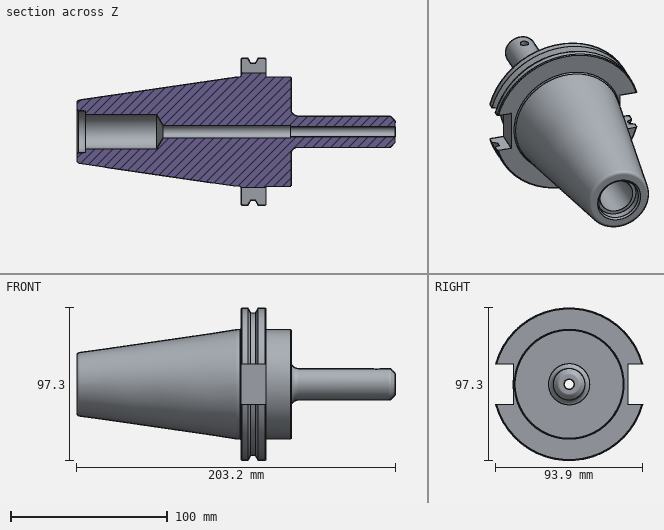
import cadquery as cq
import math

total_length = 203.2

gauge_diameter = 70.0
taper_length = 102.0
taper_ratio = 7 / 24
neck_diameter = gauge_diameter
nose_round = 2.0

flange_start = 104.9
flange_width = 15.9
flange_diameter = 97.3
flange_edge_chamfer = 0.6
flange_root_chamfer = 0.8
groove_center = 112.4
groove_floor_width = 3.0
groove_depth = 3.0
groove_wall_angle = 30.0
slot_width = 25.6
slot_floor_front = 35.5
slot_floor_back = 37.5

boss_diameter = 70.1
boss_end = 136.8
boss_edge_chamfer = 0.6
shank_diameter = 20.1
shank_base_radius = 5.0
shank_base_length = 4.7
shank_end_chamfer = 3.3
shank_end_round = 1.8

mouth_diameter = 28.9
counterbore_diameter = 26.6
counterbore_straight_depth = 4.0
counterbore_floor_diameter = 26.2
counterbore_depth = 5.5
thread_bore_diameter = 22.0
thread_bore_depth = 50.8
drill_tip_angle = 118.0
coolant_bore_diameter = 8.0
coolant_bore_end = 136.2
outlet_diameter = 6.3

cross_hole_diameter = 5.3
cross_hole_x = 191.2


def revolve_profile(points):
    """Revolve a closed (x, radius) outline about the X axis."""
    return cq.Workplane("XY").polyline(points).close().revolve(360, (0, 0, 0), (1, 0, 0))


def round_circle(body, x, radius, round_radius):
    """Round the circular edge at the given x position and radius."""
    tolerance = 0.02
    reach = radius + tolerance
    box = cq.selectors.BoxSelector(
        (x - tolerance, -reach, -reach), (x + tolerance, reach, reach), boundingbox=True
    )
    return body.edges(box).edges(cq.selectors.RadiusNthSelector(-1)).fillet(round_radius)


def make_taper():
    nose_radius = (gauge_diameter - taper_length * taper_ratio) / 2
    taper = revolve_profile([
        (0, 0),
        (0, nose_radius),
        (taper_length, gauge_diameter / 2),
        (taper_length, 0),
    ])
    taper = round_circle(taper, 0, nose_radius, nose_round)
    neck = revolve_profile([
        (taper_length, 0),
        (taper_length, neck_diameter / 2),
        (flange_start - flange_root_chamfer, neck_diameter / 2),
        (flange_start, neck_diameter / 2 + flange_root_chamfer),
        (flange_start, 0),
    ])
    return taper.union(neck)


def make_flange():
    radius = flange_diameter / 2
    end = flange_start + flange_width
    floor_radius = radius - groove_depth
    half_floor = groove_floor_width / 2
    half_mouth = half_floor + groove_depth * math.tan(math.radians(groove_wall_angle))
    flange = revolve_profile([
        (flange_start, 0),
        (flange_start, radius - flange_edge_chamfer),
        (flange_start + flange_edge_chamfer, radius),
        (groove_center - half_mouth, radius),
        (groove_center - half_floor, floor_radius),
        (groove_center + half_floor, floor_radius),
        (groove_center + half_mouth, radius),
        (end - flange_edge_chamfer, radius),
        (end, radius - flange_edge_chamfer),
        (end, 0),
    ])
    for side, floor in ((-1, slot_floor_front), (1, slot_floor_back)):
        slot = cq.Workplane("XY").box(flange_width, radius, slot_width)
        slot = slot.translate((flange_start + flange_width / 2, side * (floor + radius / 2), 0))
        flange = flange.cut(slot)
    return flange


def make_boss():
    radius = boss_diameter / 2
    start = flange_start + flange_width
    return revolve_profile([
        (start, 0),
        (start, radius),
        (boss_end - boss_edge_chamfer, radius),
        (boss_end, radius - boss_edge_chamfer),
        (boss_end, 0),
    ])


def make_shank():
    radius = shank_diameter / 2
    sweep_end = boss_end + shank_base_length
    sweep_center_radius = radius + shank_base_radius

    def sweep_radius(distance):
        """Radius of the sweep at a distance before it meets the shank."""
        return sweep_center_radius - math.sqrt(shank_base_radius**2 - distance**2)

    chamfer_start = total_length - shank_end_chamfer
    tip_radius = radius - shank_end_chamfer
    shank = (
        cq.Workplane("XY")
        .moveTo(boss_end, 0)
        .lineTo(boss_end, sweep_radius(shank_base_length))
        .threePointArc(
            (boss_end + shank_base_length / 2, sweep_radius(shank_base_length / 2)),
            (sweep_end, radius),
        )
        .lineTo(chamfer_start, radius)
        .lineTo(total_length, tip_radius)
        .lineTo(total_length, 0)
        .close()
        .revolve(360, (0, 0, 0), (1, 0, 0))
    )
    shank = round_circle(shank, chamfer_start, radius, shank_end_round)
    return round_circle(shank, total_length, tip_radius, shank_end_round)


def make_bores():
    mouth_chamfer = (mouth_diameter - counterbore_diameter) / 2
    thread_radius = thread_bore_diameter / 2
    coolant_radius = coolant_bore_diameter / 2
    tip_length = (thread_radius - coolant_radius) / math.tan(math.radians(drill_tip_angle / 2))
    return revolve_profile([
        (0, 0),
        (0, mouth_diameter / 2),
        (mouth_chamfer, counterbore_diameter / 2),
        (counterbore_straight_depth, counterbore_diameter / 2),
        (counterbore_depth, counterbore_floor_diameter / 2),
        (counterbore_depth, thread_radius),
        (thread_bore_depth, thread_radius),
        (thread_bore_depth + tip_length, coolant_radius),
        (coolant_bore_end, coolant_radius),
        (coolant_bore_end, outlet_diameter / 2),
        (total_length, outlet_diameter / 2),
        (total_length, 0),
    ])


def make_cross_hole():
    hole = cq.Workplane("XY").circle(cross_hole_diameter / 2).extrude(shank_diameter)
    return hole.translate((cross_hole_x, 0, 0))


body = make_taper().union(make_flange()).union(make_boss()).union(make_shank())
result = body.cut(make_bores()).cut(make_cross_hole())